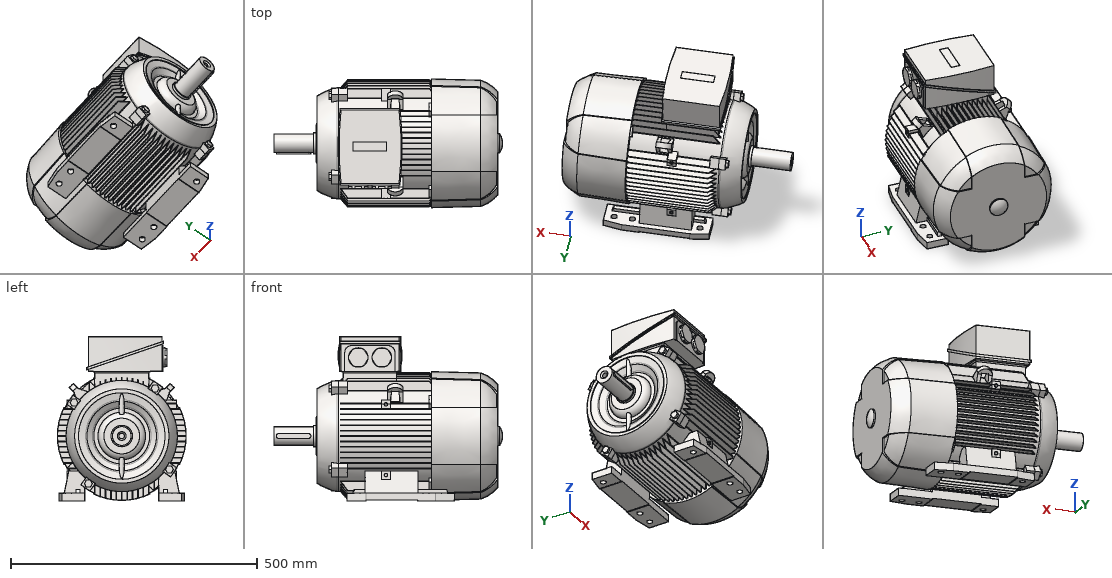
import cadquery as cq
import math


total_length = 465.0
shoulder_x = 80.5
hub_face_x = 85.5
shield_front_x = 87.5
seam_x = 131.0
cover_x = 320.0
cover_rear_x = 455.2

shaft_radius = 19.0
collar_radius = 22.0
center_hole_radius = 9.0
center_hole_inner_radius = 5.5
center_hole_depth = 14.0
key_start_x = 5.0
key_length = 70.0
key_width = 10.0
key_top = 22.0
key_height = 8.0

core_radius = 113.0
fin_radius = 129.5
fin_thickness = 1.5
fin_pitch = 10.97
fins_per_half_side = 6
fin_start_x = 136.0
fin_front_slope = 14.5
fin_rear_chamfer = 4.0

boss_start_x = 117.5
boss_end_x = 149.5
boss_inner_radius = 108.0
boss_outer_radius = 129.0
boss_width = 22.5
boss_first_angle = 55.0
bolt_circle_radius = 118.0
bolt_corner_diameter = 16.5
bolt_head_height = 5.0

box_bottom_z = 131.0
box_top_z = 202.0
box_front_y = -82.0
box_rear_y = 68.0
box_end_x = (136.5, 254.5)
box_bulge = 4.0
seal_front_z = 186.5
seal_rear_z = 135.5
rim_height = 5.0
rim_overhang_x = 2.0
rim_overhang_y = 3.3
label_size = (68.0, 18.5)
label_center = (195.5, -6.5)
label_depth = 0.5
panel_x = (144.0, 246.0)
panel_top_z = 183.5
panel_corner_radius = 14.0
panel_height = 2.5
plug_x = (171.5, 219.5)
plug_z = 159.5
plug_diameter = 39.5
plug_hex_width = 37.0
plug_base_height = 3.3
plug_hex_height = 4.5

neck_x = (141.0, 249.2)
neck_half_width = 55.0
neck_flare = 3.0

foot_bottom_z = -132.0
foot_plate_top_z = -116.2
foot_x = (148.5, 367.0)
foot_wide_x = (187.5, 328.5)
foot_inner_y = 75.0
foot_outer_y = 128.0
foot_tip_y = 121.5
foot_relief_x = (187.5, 292.0)
foot_relief_height = 2.0
foot_hole_x = (169.3, 309.0, 347.0)
foot_hole_y = 108.0
foot_hole_diameter = 12.0
leg_x = (185.5, 293.5)
leg_top_z = -70.5
leg_top_y = 107.5
leg_bottom_y = 117.0
rib_x = (160.0, 354.5)
rib_y = (84.5, 93.0)
rib_height = 8.0
rib_end_slope = 3.5

pad_x = (218.5, 237.0)
pad_height = 17.0
pad_outer_y = 111.5
upper_pad_top_z = 73.0
upper_pad_inner_y = 86.0
lower_pad_top_z = -70.5
pad_hole_diameter = 7.0
pad_hole_depth = 2.5

lug_x = (230.5, 262.5)
lug_thickness = 11.5
lug_top_radius = 145.0
lug_arch_height = 10.5
lug_opening_top_radius = 134.0
lug_opening_bottom_radius = 114.0
lug_opening_top_width = 15.0
lug_opening_bottom_width = 18.5
lug_foot_bottom_radius = 108.5
lug_foot_top_radius = 131.5
lug_foot_half_width = 16.7

tab_length = 4.0
tab_radius = (107.0, 124.0)
tab_side = (-32.5, -8.5)
tab_first_angle = 45.0

cover_front_radius = 130.9
cover_mid_x = 420.5
cover_mid_radius = 128.5
cover_arc_point = (440.0, 118.5)
cover_rear_radius = 104.5
cap_radius = 19.5
cap_dome_x = 458.5
corner_offset = 57.45
corner_sink = 2.0
corner_rear_sink = 3.3

shield_front_radius = 96.0
shield_arc_point = (110.5, 108.0)
shield_rim_x = 128.5
dish_radius = 88.0
lip_end_x = 89.5
step_radii = (73.5, 70.5)
step_x = 92.5
bevel_x = 101.5
bevel_radius = 59.5
floor_x = 102.8
floor_radius = 56.5
hub_base_radius = 48.5
hub_arc_point = (92.5, 45.5)
hub_face_radius = 36.5
web_radius = 5.0
web_axis_x = 95.0
web_inner_z = 43.2
web_outer_z = 86.5


def block(x_range, y_range, z_range):
    """Axis-aligned box between the given limits."""
    size = [high - low for low, high in (x_range, y_range, z_range)]
    corner = cq.Vector(x_range[0], y_range[0], z_range[0])
    return cq.Workplane(cq.Solid.makeBox(*size, pnt=corner))


def rod(start_x, end_x, radius):
    """Cylinder on the shaft axis."""
    return cq.Workplane("YZ", origin=(start_x, 0, 0)).circle(radius).extrude(end_x - start_x)


def turned(profile):
    """Revolve a closed profile drawn as X and radius about the shaft axis."""
    return profile.close().revolve(360, (0, 0, 0), (1, 0, 0))


def mirrored_y(body):
    """The body together with its mirror image across the XZ plane."""
    return body.union(body.mirror("XZ"))


def quarter_turns(first_angle):
    """Four angles a quarter turn apart, measured from -Y towards +Z."""
    return [first_angle + 90 * i for i in range(4)]


def four_around_shaft(body, first_angle):
    """Four copies of a body that points along -Y, turned about the shaft axis."""
    copies = cq.Workplane("XY")
    for angle in quarter_turns(first_angle):
        copies = copies.union(body.rotate((0, 0, 0), (1, 0, 0), -angle))
    return copies


def clamp_bosses(start_x, end_x):
    boss = block(
        (start_x, end_x), (-boss_outer_radius, -boss_inner_radius), (-boss_width / 2, boss_width / 2)
    )
    return four_around_shaft(boss, boss_first_angle)



def make_key():
    return (
        cq.Workplane("XZ", origin=(key_start_x + key_length / 2, -key_top + key_height, 0))
        .slot2D(key_length, key_width)
        .extrude(key_height)
    )


def make_shaft(key):
    shaft = rod(0, shoulder_x, shaft_radius).union(rod(shoulder_x, seam_x, collar_radius))
    center_hole = turned(
        cq.Workplane("XY")
        .lineTo(0, center_hole_radius)
        .lineTo(center_hole_radius - center_hole_inner_radius, center_hole_inner_radius)
        .lineTo(center_hole_depth, center_hole_inner_radius)
        .lineTo(center_hole_depth, 0)
    )
    return shaft.cut(center_hole).cut(key)



def make_end_shield():
    shield = turned(
        cq.Workplane("XY")
        .moveTo(seam_x, collar_radius)
        .lineTo(seam_x, core_radius)
        .lineTo(shield_rim_x, core_radius)
        .threePointArc(shield_arc_point, (shield_front_x, shield_front_radius))
        .lineTo(shield_front_x, dish_radius)
        .lineTo(lip_end_x, dish_radius)
        .lineTo(step_x, step_radii[0])
        .lineTo(step_x, step_radii[1])
        .lineTo(bevel_x, bevel_radius)
        .lineTo(floor_x, floor_radius)
        .lineTo(floor_x, hub_base_radius)
        .threePointArc(hub_arc_point, (hub_face_x, hub_face_radius))
        .lineTo(hub_face_x, collar_radius)
    )
    web = cq.Workplane("XY", origin=(web_axis_x, 0, web_inner_z)).circle(web_radius)
    web = web.extrude(web_outer_z - web_inner_z)
    shield = shield.union(web).union(web.mirror("XY"))
    outer_bosses = clamp_bosses(boss_start_x, seam_x)
    shield = shield.union(outer_bosses)
    for angle in quarter_turns(boss_first_angle):
        y = -bolt_circle_radius * math.cos(math.radians(angle))
        z = bolt_circle_radius * math.sin(math.radians(angle))
        head = cq.Workplane("YZ", origin=(boss_start_x, y, z)).polygon(6, bolt_corner_diameter)
        shield = shield.union(head.extrude(-bolt_head_height))
    return shield



def make_fins():
    envelope = turned(
        cq.Workplane("XY")
        .moveTo(fin_start_x, 0)
        .lineTo(fin_start_x, core_radius)
        .lineTo(fin_start_x + fin_front_slope, fin_radius)
        .lineTo(cover_x - fin_rear_chamfer, fin_radius)
        .lineTo(cover_x, fin_radius - fin_rear_chamfer)
        .lineTo(cover_x, 0)
    )
    plates = cq.Workplane("XY")
    for i in range(-fins_per_half_side, fins_per_half_side + 1):
        across = (i * fin_pitch - fin_thickness / 2, i * fin_pitch + fin_thickness / 2)
        along = (-fin_radius, fin_radius)
        plates = plates.union(block((fin_start_x, cover_x), across, along))
        plates = plates.union(block((fin_start_x, cover_x), along, across))
    return plates.intersect(envelope)


def make_neck():
    neck = block(neck_x, (-neck_half_width, neck_half_width), (0, box_bottom_z))
    flare = (
        cq.Workplane("XY", origin=(sum(neck_x) / 2, 0, box_bottom_z))
        .rect(neck_x[1] - neck_x[0] + 2 * neck_flare, 2 * (neck_half_width + neck_flare))
        .extrude(-neck_flare, taper=45)
    )
    return neck.union(flare)


def make_foot():
    """Foot on the +Y side: tapered plate, leg and rib."""
    plate = (
        cq.Workplane("XY", origin=(0, 0, foot_bottom_z))
        .polyline([
            (foot_x[0], foot_inner_y),
            (foot_x[1], foot_inner_y),
            (foot_x[1], foot_tip_y),
            (foot_wide_x[1], foot_outer_y),
            (foot_wide_x[0], foot_outer_y),
            (foot_x[0], foot_tip_y),
        ])
        .close()
        .extrude(foot_plate_top_z - foot_bottom_z)
    )
    relief = block(foot_relief_x, (foot_inner_y, foot_outer_y), (foot_bottom_z, foot_bottom_z + foot_relief_height))
    holes = (
        cq.Workplane("XY", origin=(0, 0, foot_bottom_z))
        .pushPoints([(x, foot_hole_y) for x in foot_hole_x])
        .circle(foot_hole_diameter / 2)
        .extrude(foot_plate_top_z - foot_bottom_z)
    )
    leg = (
        cq.Workplane("YZ", origin=(leg_x[0], 0, 0))
        .polyline([
            (foot_inner_y, foot_plate_top_z),
            (leg_bottom_y, foot_plate_top_z),
            (leg_top_y, leg_top_z),
            (foot_inner_y, leg_top_z),
        ])
        .close()
        .extrude(leg_x[1] - leg_x[0])
    )
    rib = (
        cq.Workplane("XZ", origin=(0, rib_y[1], 0))
        .polyline([
            (rib_x[0], foot_plate_top_z),
            (rib_x[0] + rib_end_slope, foot_plate_top_z + rib_height),
            (rib_x[1] - rib_end_slope, foot_plate_top_z + rib_height),
            (rib_x[1], foot_plate_top_z),
        ])
        .close()
        .extrude(rib_y[1] - rib_y[0])
    )
    return plate.cut(relief).cut(holes).union(leg).union(rib)


def make_pad(top_z, inner_y):
    """Grounding pad on the +Y side with a blind screw hole."""
    pad = block(pad_x, (inner_y, pad_outer_y), (top_z - pad_height, top_z))
    hole = (
        cq.Workplane("XZ", origin=(sum(pad_x) / 2, pad_outer_y, top_z - pad_height / 2))
        .circle(pad_hole_diameter / 2)
        .extrude(pad_hole_depth)
    )
    return pad, hole


def make_lug():
    """Lifting eye built upright on +Z, then tipped 45 degrees towards +Y."""
    width = lug_x[1] - lug_x[0]
    middle_x = sum(lug_x) / 2
    outline = cq.Workplane("XZ", origin=(0, lug_thickness / 2, 0))
    arch = (
        outline.moveTo(lug_x[0], 0)
        .lineTo(lug_x[0], lug_top_radius - lug_arch_height)
        .threePointArc((middle_x, lug_top_radius), (lug_x[1], lug_top_radius - lug_arch_height))
        .lineTo(lug_x[1], 0)
        .close()
        .extrude(lug_thickness)
    )
    foot = (
        cq.Workplane("YZ", origin=(lug_x[0], 0, 0))
        .polyline([
            (-lug_foot_half_width, lug_foot_bottom_radius),
            (lug_foot_half_width, lug_foot_bottom_radius),
            (lug_thickness / 2, lug_foot_top_radius),
            (-lug_thickness / 2, lug_foot_top_radius),
        ])
        .close()
        .extrude(width)
    )
    opening = (
        cq.Workplane("XZ", origin=(middle_x, lug_foot_half_width, 0))
        .polyline([
            (-lug_opening_bottom_width / 2, lug_opening_bottom_radius),
            (lug_opening_bottom_width / 2, lug_opening_bottom_radius),
            (lug_opening_top_width / 2, lug_opening_top_radius),
            (-lug_opening_top_width / 2, lug_opening_top_radius),
        ])
        .close()
        .extrude(2 * lug_foot_half_width)
    )
    lug = arch.union(foot).cut(opening)
    return lug.rotate((0, 0, 0), (1, 0, 0), -45)


def make_tabs():
    tab = block((cover_x - tab_length, cover_x), (-tab_radius[1], -tab_radius[0]), tab_side)
    return four_around_shaft(tab, tab_first_angle)


def make_frame():
    frame = rod(seam_x, cover_x, core_radius).union(make_fins())
    frame = frame.union(make_neck()).union(clamp_bosses(seam_x, boss_end_x)).union(make_tabs())
    upper_pad, upper_hole = make_pad(upper_pad_top_z, upper_pad_inner_y)
    lower_pad, lower_hole = make_pad(lower_pad_top_z, foot_inner_y)
    for part in (make_foot(), make_lug(), upper_pad, lower_pad):
        frame = frame.union(mirrored_y(part))
    return frame.cut(mirrored_y(upper_hole)).cut(mirrored_y(lower_hole))



def cover_shape(sink, rear_sink):
    """Turned fan cover without its cap, with its outline drawn in by the given amounts."""
    return turned(
        cq.Workplane("XY")
        .moveTo(cover_x, 0)
        .lineTo(cover_x, cover_front_radius - sink)
        .lineTo(cover_mid_x, cover_mid_radius - sink)
        .threePointArc(
            (cover_arc_point[0] - sink, cover_arc_point[1] - sink),
            (cover_rear_x - rear_sink, cover_rear_radius - sink),
        )
        .lineTo(cover_rear_x - rear_sink, 0)
    )


def make_fan_cover():
    corner = block(
        (cover_x, cover_rear_x), (corner_offset, cover_front_radius), (corner_offset, cover_front_radius)
    )
    corners = mirrored_y(corner.union(corner.mirror("XY")))
    sunken = corners.cut(cover_shape(corner_sink, corner_rear_sink))
    cap_height = total_length - cap_dome_x
    sphere_radius = (cap_radius ** 2 + cap_height ** 2) / (2 * cap_height)
    half_angle = math.asin(cap_radius / sphere_radius) / 2
    cap_middle = (
        total_length - sphere_radius * (1 - math.cos(half_angle)),
        sphere_radius * math.sin(half_angle),
    )
    cap = turned(
        cq.Workplane("XY")
        .moveTo(cover_rear_x, 0)
        .lineTo(cover_rear_x, cap_radius)
        .lineTo(cap_dome_x, cap_radius)
        .threePointArc(cap_middle, (total_length, 0))
    )
    return cover_shape(0, 0).cut(sunken).union(cap)



def box_plan(overhang_x, overhang_y):
    """Full-height box whose two ends bow outwards."""
    left = box_end_x[0] - overhang_x
    right = box_end_x[1] + overhang_x
    front = box_front_y - overhang_y
    rear = box_rear_y + overhang_y
    middle = (front + rear) / 2
    return (
        cq.Workplane("XY", origin=(0, 0, box_bottom_z))
        .moveTo(left, front)
        .lineTo(right, front)
        .threePointArc((right + box_bulge, middle), (right, rear))
        .lineTo(left, rear)
        .threePointArc((left - box_bulge, middle), (left, front))
        .close()
        .extrude(box_top_z - box_bottom_z)
    )


def above_seal(height):
    """Everything between the sloped seal plane and a parallel plane the given height above it."""
    slope = (seal_rear_z - seal_front_z) / (box_rear_y - box_front_y)
    front = box_front_y - rim_overhang_y
    rear = box_rear_y + rim_overhang_y
    front_z = seal_front_z + slope * (front - box_front_y)
    rear_z = seal_rear_z + slope * (rear - box_rear_y)
    start_x = box_end_x[0] - rim_overhang_x - box_bulge
    end_x = box_end_x[1] + rim_overhang_x + box_bulge
    return (
        cq.Workplane("YZ", origin=(start_x, 0, 0))
        .polyline([(front, front_z), (rear, rear_z), (rear, rear_z + height), (front, front_z + height)])
        .close()
        .extrude(end_x - start_x)
    )


def make_box_lid():
    height = box_top_z - box_bottom_z
    lid = box_plan(0, 0).intersect(above_seal(height))
    rim = box_plan(rim_overhang_x, rim_overhang_y).intersect(above_seal(rim_height))
    label = (
        cq.Workplane("XY", origin=(*label_center, box_top_z)).rect(*label_size).extrude(-label_depth)
    )
    return lid.union(rim).cut(label)


def make_box_base():
    base = box_plan(0, 0).cut(above_seal(box_top_z - box_bottom_z))
    panel = block(panel_x, (box_front_y - panel_height, box_front_y), (box_bottom_z, panel_top_z))
    panel = panel.edges("|Y and >Z").fillet(panel_corner_radius)
    base = base.union(panel)
    plug_face_y = box_front_y - panel_height
    for x in plug_x:
        center = cq.Workplane("XZ", origin=(x, plug_face_y, plug_z))
        disc = center.circle(plug_diameter / 2).extrude(plug_base_height)
        plug = center.circle(plug_diameter / 2).extrude(plug_base_height + plug_hex_height)
        hexagon = center.polygon(6, plug_hex_width / math.cos(math.pi / 6))
        plug = plug.intersect(hexagon.extrude(plug_base_height + plug_hex_height))
        base = base.union(disc).union(plug)
    return base


key = make_key()
shaft = make_shaft(key)
end_shield = make_end_shield()
frame = make_frame()
fan_cover = make_fan_cover()
box_base = make_box_base()
box_lid = make_box_lid()

result = cq.Compound.makeCompound([
    key.val(),
    shaft.val(),
    end_shield.val(),
    frame.val(),
    fan_cover.val(),
    box_base.val(),
    box_lid.val(),
])